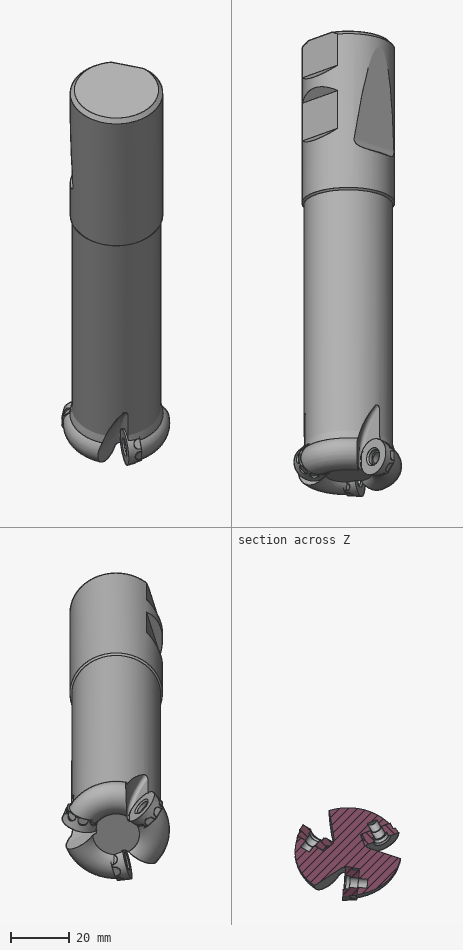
import cadquery as cq
import math

TOTAL_HEIGHT = 159.5
SHANK_RADIUS = 31.7 / 2
SHANK_BOTTOM = 102.1
SHANK_TOP_CHAMFER = 1.5
NECK_RADIUS = 30.5 / 2
NECK_BOTTOM = 13.7
HEAD_RADIUS = 36.5 / 2

INSERT_COUNT = 3
FIRST_INSERT_ANGLE = 180.0
CUTTING_RADIUS = 38.1 / 2
INSERT_RADIUS = 12.8 / 2
INSERT_THICKNESS = 4.8
INSERT_RELIEF_ANGLE = 7.0
INSERT_HOLE_DIAMETER = 4.0
INSERT_COUNTERBORE_DIAMETER = 5.3
INSERT_COUNTERBORE_DEPTH = 1.9
INSERT_MOUTH_DIAMETER = 6.4
INSERT_MOUTH_TAPER = 45.0
INSERT_FACE_OFFSET = 0.3
INSERT_PITCH_RADIUS = CUTTING_RADIUS - INSERT_RADIUS
INSERT_HEIGHT = INSERT_RADIUS

DIMPLE_COUNT = 8
DIMPLE_DIAMETER = 3.5
DIMPLE_FLOOR_RADIUS = 5.5
DIMPLE_DEPTH_BELOW_FACE = 4.1

SCREW_HOLE_DIAMETER = 3.5
SCREW_HOLE_DEPTH = 8.0

RIM_SECTION_RADIUS = HEAD_RADIUS - INSERT_PITCH_RADIUS
RIM_TOP = 10.8
COLLAR_RADIUS = 15.8
COLLAR_TOP = 11.8
HEAD_RECESS_FLOOR = 3.3

GULLET_ANGLE = 47.0
GULLET_WALL_SETBACK = 0.3
GULLET_CORNER_DEPTH = 5.3
GULLET_STRAIGHT_TOP = 7.5
GULLET_SWEEP_RADIUS = 22.6
GULLET_CORNER_RADIUS = 1.1

FLAT_DISTANCE = 13.2
FLAT_CUT_DEPTH = 3.2
UPPER_FLAT_BOTTOM = 146.7
LOWER_FLAT_TOP = 137.5
LOWER_FLAT_BOTTOM = 123.8

NOTCH_TOP = 154.7
NOTCH_FLOOR_BOTTOM = 120.1
NOTCH_SLOPE_ANGLE = 5.0
NOTCH_END_RADIUS = 3.5

CLEARANCE = 8.0


def rim_offset(height):
    """Radial half-chord of the rim section at the given height."""
    return math.sqrt(RIM_SECTION_RADIUS**2 - (height - INSERT_HEIGHT) ** 2)


def make_turned_blank():
    recess_radius = INSERT_PITCH_RADIUS - rim_offset(HEAD_RECESS_FLOOR)
    rim_top_radius = INSERT_PITCH_RADIUS + rim_offset(RIM_TOP)
    outermost_rim_point = (HEAD_RADIUS, INSERT_HEIGHT)
    shank_step = SHANK_RADIUS - NECK_RADIUS
    return (
        cq.Workplane("XZ")
        .moveTo(0, HEAD_RECESS_FLOOR)
        .lineTo(recess_radius, HEAD_RECESS_FLOOR)
        .threePointArc(outermost_rim_point, (rim_top_radius, RIM_TOP))
        .lineTo(COLLAR_RADIUS, COLLAR_TOP)
        .lineTo(NECK_RADIUS, NECK_BOTTOM)
        .lineTo(NECK_RADIUS, SHANK_BOTTOM - shank_step)
        .lineTo(SHANK_RADIUS, SHANK_BOTTOM)
        .lineTo(SHANK_RADIUS, TOTAL_HEIGHT - SHANK_TOP_CHAMFER)
        .lineTo(SHANK_RADIUS - SHANK_TOP_CHAMFER, TOTAL_HEIGHT)
        .lineTo(0, TOTAL_HEIGHT)
        .close()
        .revolve(360, (0, 0), (0, 1))
    )


def make_flat(bottom, bottom_ramp, top, top_ramp):
    """Cut for a flat whose ends ramp down or up by the given heights."""
    outside = FLAT_DISTANCE + FLAT_CUT_DEPTH
    profile = [
        (FLAT_DISTANCE, top),
        (FLAT_DISTANCE, bottom),
        (outside, bottom - bottom_ramp),
        (outside, top + top_ramp),
    ]
    return cq.Workplane("YZ").polyline(profile).close().extrude(SHANK_RADIUS, both=True)


def make_upper_flat():
    """Flat that runs out through the top and ends below in a 45 degree ramp."""
    return make_flat(UPPER_FLAT_BOTTOM, FLAT_CUT_DEPTH, TOTAL_HEIGHT, 0)


def make_lower_flat():
    """Flat with a 45 degree ramp at both ends."""
    return make_flat(LOWER_FLAT_BOTTOM, FLAT_CUT_DEPTH, LOWER_FLAT_TOP, FLAT_CUT_DEPTH)


def make_sloping_notch():
    slope = math.radians(NOTCH_SLOPE_ANGLE)
    floor_x = -SHANK_RADIUS + (NOTCH_TOP - NOTCH_FLOOR_BOTTOM) * math.tan(slope)
    end_center_x = floor_x - NOTCH_END_RADIUS * math.cos(slope)
    end_center_z = NOTCH_FLOOR_BOTTOM - NOTCH_END_RADIUS * math.sin(slope)
    outside = -SHANK_RADIUS - CLEARANCE
    return (
        cq.Workplane("XZ")
        .moveTo(-SHANK_RADIUS, NOTCH_TOP)
        .lineTo(floor_x, NOTCH_FLOOR_BOTTOM)
        .radiusArc((end_center_x, end_center_z - NOTCH_END_RADIUS), NOTCH_END_RADIUS)
        .lineTo(outside, end_center_z - NOTCH_END_RADIUS)
        .lineTo(outside, NOTCH_TOP)
        .close()
        .extrude(SHANK_RADIUS, both=True)
    )




def gullet_section():
    """Level V section with a rounded corner, open outwards between wall and floor."""
    opening = math.radians(GULLET_ANGLE)
    corner = cq.Vector(GULLET_CORNER_DEPTH, GULLET_WALL_SETBACK)
    wall_direction = cq.Vector(1, 0)
    floor_direction = cq.Vector(math.cos(opening), -math.sin(opening))
    middle_direction = cq.Vector(math.cos(opening / 2), -math.sin(opening / 2))
    tangent_length = GULLET_CORNER_RADIUS / math.tan(opening / 2)
    arc_middle_distance = GULLET_CORNER_RADIUS * (1 / math.sin(opening / 2) - 1)
    return (
        cq.Workplane("XY", origin=(0, 0, GULLET_STRAIGHT_TOP))
        .moveTo(corner.x + GULLET_SWEEP_RADIUS, corner.y)
        .lineTo(*(corner + wall_direction * tangent_length).toTuple()[:2])
        .threePointArc(
            (corner + middle_direction * arc_middle_distance).toTuple()[:2],
            (corner + floor_direction * tangent_length).toTuple()[:2],
        )
        .lineTo(
            corner.x + GULLET_SWEEP_RADIUS,
            corner.y - GULLET_SWEEP_RADIUS * math.tan(opening),
        )
        .close()
    )


def make_gullet():
    """V groove that runs straight up, then curves outwards about a level axis."""
    sweep_axis_x = GULLET_CORNER_DEPTH + GULLET_SWEEP_RADIUS
    straight = gullet_section().extrude(-GULLET_STRAIGHT_TOP - CLEARANCE)
    curved = gullet_section().revolve(90, (sweep_axis_x, 0), (sweep_axis_x, 1))
    return straight.union(curved)


def insert_face():
    """Workplane on the insert face, with its normal pointing out of the face."""
    return cq.Workplane(
        cq.Plane(
            origin=(INSERT_PITCH_RADIUS, -INSERT_FACE_OFFSET, INSERT_HEIGHT),
            xDir=(1, 0, 0),
            normal=(0, -1, 0),
        )
    )


def make_insert_blank():
    return insert_face().circle(INSERT_RADIUS).extrude(-INSERT_THICKNESS, taper=INSERT_RELIEF_ANGLE)


def make_screw_hole():
    return insert_face().circle(SCREW_HOLE_DIAMETER / 2).extrude(-SCREW_HOLE_DEPTH)


def make_insert():
    insert = make_insert_blank()
    mouth_step = (INSERT_MOUTH_DIAMETER - INSERT_COUNTERBORE_DIAMETER) / 2
    mouth_depth = mouth_step / math.tan(math.radians(INSERT_MOUTH_TAPER))
    bore = insert_face().circle(INSERT_HOLE_DIAMETER / 2).extrude(-INSERT_THICKNESS)
    counterbore = insert_face().circle(INSERT_COUNTERBORE_DIAMETER / 2).extrude(-INSERT_COUNTERBORE_DEPTH)
    mouth = insert_face().circle(INSERT_MOUTH_DIAMETER / 2).extrude(-mouth_depth, taper=INSERT_MOUTH_TAPER)
    insert = insert.cut(bore).cut(counterbore).cut(mouth)
    for index in range(DIMPLE_COUNT):
        angle = math.radians(index * 360 / DIMPLE_COUNT)
        outward = cq.Vector(math.cos(angle), 0, math.sin(angle))
        floor_center = outward * DIMPLE_FLOOR_RADIUS + cq.Vector(
            INSERT_PITCH_RADIUS, DIMPLE_DEPTH_BELOW_FACE - INSERT_FACE_OFFSET, INSERT_HEIGHT
        )
        dimple = cq.Solid.makeCylinder(DIMPLE_DIAMETER / 2, INSERT_RADIUS, floor_center, outward)
        insert = insert.cut(cq.Workplane(dimple))
    return insert


def at_station(shape, index):
    angle = FIRST_INSERT_ANGLE + index * 360 / INSERT_COUNT
    return shape.rotate((0, 0, 0), (0, 0, 1), angle)


def make_cutter_body():
    body = make_turned_blank()
    body = body.cut(make_upper_flat())
    body = body.cut(make_lower_flat())
    body = body.cut(make_sloping_notch())
    for index in range(INSERT_COUNT):
        body = body.cut(at_station(make_gullet(), index))
        body = body.cut(at_station(make_insert_blank(), index))
        body = body.cut(at_station(make_screw_hole(), index))
    return body


cutter_body = make_cutter_body()
inserts = [at_station(make_insert(), index) for index in range(INSERT_COUNT)]

result = cq.Compound.makeCompound([cutter_body.val(), *[insert.val() for insert in inserts]])